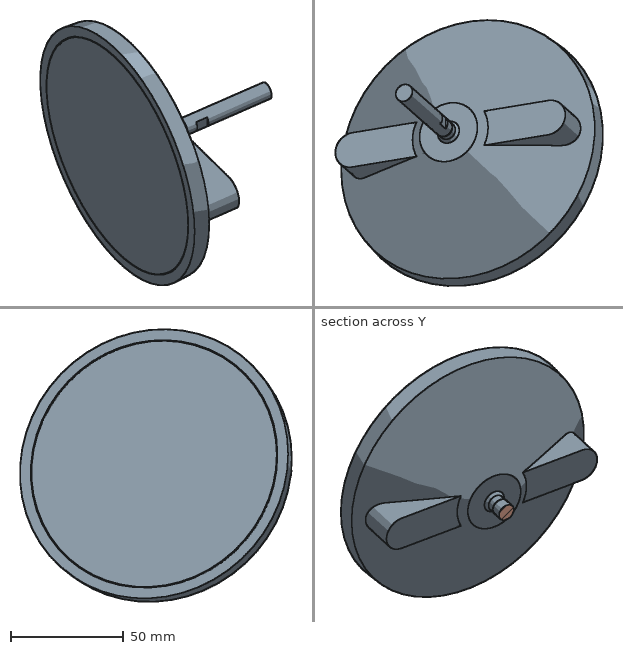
import cadquery as cq

FRONT_DIAMETER = 124.0
RIM_BACK_DIAMETER = 123.0
RIM_THICKNESS = 8.2
CONE_TOP_DIAMETER = 28.0
CONE_TOP_Y = 30.0

PANEL_DIAMETER = 113.5
GROOVE_OUTER_DIAMETER = 114.0
GROOVE_DEPTH = 1.0

BAR_LENGTH = 111.6
BAR_WIDTH = 16.5
BAR_TOP_Y = 28.0

TOTAL_LENGTH = 80.0
STEM_DIAMETER = 8.0
NECK_DIAMETER = 7.8
NECK_START_Y = 31.4
NECK_END_Y = 35.0
STEM_BASE_DIAMETER = 10.4

FLATS_START_Y = 40.2
FLATS_LENGTH = 6.0
ACROSS_FLATS = 6.0


def revolve_about_y(points):
    """Solid of revolution from a closed (radius, Y) outline."""
    return cq.Workplane("XY").polyline(points).close().revolve(360, (0, 0, 0), (0, 1, 0))


def plane_at(y):
    """Workplane at height y whose normal points along +Y."""
    return cq.Workplane("XZ", origin=(0, y, 0)).workplane(invert=True)


def make_disc():
    return revolve_about_y([
        (0, 0),
        (FRONT_DIAMETER / 2, 0),
        (RIM_BACK_DIAMETER / 2, RIM_THICKNESS),
        (CONE_TOP_DIAMETER / 2, CONE_TOP_Y),
        (0, CONE_TOP_Y),
    ])


def make_groove():
    return (
        plane_at(0)
        .circle(GROOVE_OUTER_DIAMETER / 2)
        .circle(PANEL_DIAMETER / 2)
        .extrude(GROOVE_DEPTH)
    )


def make_bar():
    return (
        plane_at(RIM_THICKNESS)
        .slot2D(BAR_LENGTH, BAR_WIDTH)
        .extrude(BAR_TOP_Y - RIM_THICKNESS)
    )


def make_stem():
    return revolve_about_y([
        (0, CONE_TOP_Y),
        (STEM_BASE_DIAMETER / 2, CONE_TOP_Y),
        (NECK_DIAMETER / 2, NECK_START_Y),
        (NECK_DIAMETER / 2, NECK_END_Y),
        (STEM_DIAMETER / 2, NECK_END_Y),
        (STEM_DIAMETER / 2, TOTAL_LENGTH),
        (0, TOTAL_LENGTH),
    ])


def make_flat_cutters():
    """Blocks on the -X and +X sides of the stem that leave the flats."""
    block_size = STEM_DIAMETER
    block_offset = (ACROSS_FLATS + block_size) / 2
    return (
        plane_at(FLATS_START_Y)
        .pushPoints([(-block_offset, 0), (block_offset, 0)])
        .rect(block_size, block_size)
        .extrude(FLATS_LENGTH)
    )


stem = make_stem().cut(make_flat_cutters())
result = make_disc().union(make_bar()).union(stem).cut(make_groove())